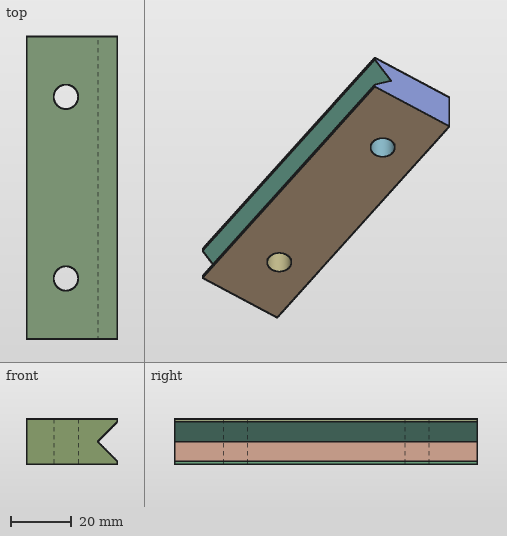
import cadquery as cq

width = 30.0
length = 100.0
height = 15.0

lip_height = 1.0
groove_half_height = height / 2 - lip_height
groove_depth = groove_half_height

hole_diameter = 8.0
hole_from_left_side = 13.0
hole_from_end = 20.0
hole_spacing = length - 2 * hole_from_end

right = width / 2
top = height / 2
block = (
    cq.Workplane("XZ")
    .moveTo(-right, -top)
    .lineTo(right, -top)
    .lineTo(right, -groove_half_height)
    .lineTo(right - groove_depth, 0)
    .lineTo(right, groove_half_height)
    .lineTo(right, top)
    .lineTo(-right, top)
    .close()
    .extrude(length / 2, both=True)
)

hole_x = hole_from_left_side - width / 2
holes = (
    cq.Workplane("XY")
    .pushPoints([(hole_x, -hole_spacing / 2), (hole_x, hole_spacing / 2)])
    .circle(hole_diameter / 2)
    .extrude(height, both=True)
)

result = block.cut(holes)